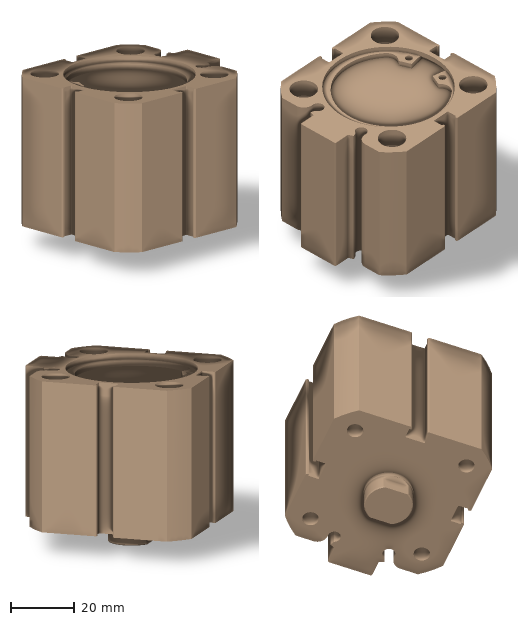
import cadquery as cq
import math

width = 54.0
height = 49.0
corner_flat_end = 20.9
half_width = width / 2
corner_radius = math.hypot(half_width, corner_flat_end)

rail_reach = 33.0
rail_half_width = 7.5
rail_edge_radius = 0.5
barb_tip = (9.25, 26.35)
barb_heel_offset = 0.65

groove_x = 9.3
groove_y = 22.85
groove_radius = 2.05
shoulder_radius = 3.5

slot_half_width = 3.3
slot_mouth_half_width = 2.7
slot_depth = 4.5
slot_lip = 0.95
slot_floor_radius = 0.25
slot_mouth_radius = 0.5

hole_spacing = 38.0
hole_diameter = 5.2
counterbore_diameter = 9.0
counterbore_depth = 6.0

bore_radius = 21.0
snap_groove_radius = 22.2
ring_drop = 1.8
ring_thickness = 1.8
cap_thickness = 6.0

ring_inner_radius = 19.2
ring_inner_offset = 1.25
ring_turn = -0.9
ear_neck = (14.7, -13.6)
ear_dip = (11.8, -15.1)
ear_tip = (8.75, -13.75)
ear_corner = (4.55, -15.5)
ear_end_angle = 14.9
ear_hole = (7.3, -17.1)
ear_hole_radius = 1.25

rod_radius = 8.0
rod_collar_reach = 1.4
rod_end_radius = 7.75
rod_reach = 6.95
rod_end_chamfer = 0.3
flat_half_width = 6.5
flat_start = 2.5

ring_top = height - ring_drop
ring_bottom = ring_top - ring_thickness
cap_bottom = ring_bottom - cap_thickness


def disc(radius, bottom, top):
    """Cylinder on the Z axis between two levels."""
    return cq.Workplane("XY").workplane(offset=bottom).circle(radius).extrude(top - bottom)


def half_outline():
    """+X half of the housing section, without the T-slots."""
    corner_mid = corner_radius * math.sqrt(0.5)
    barb_heel = (
        groove_x - barb_heel_offset,
        groove_y + math.sqrt(groove_radius**2 - barb_heel_offset**2),
    )
    shoulder_start_x = groove_x + groove_radius
    shoulder_end_x = shoulder_start_x + shoulder_radius
    shoulder_start_y = half_width - shoulder_radius
    shoulder_rise = shoulder_radius * math.sqrt(0.5)
    shoulder_mid = (shoulder_end_x - shoulder_rise, shoulder_start_y + shoulder_rise)
    return (
        cq.Workplane("XY")
        .moveTo(0, rail_reach)
        .lineTo(rail_half_width, rail_reach)
        .lineTo(rail_half_width, half_width)
        .lineTo(*barb_tip)
        .lineTo(*barb_heel)
        .threePointArc((groove_x, groove_y - groove_radius), (shoulder_start_x, groove_y))
        .lineTo(shoulder_start_x, shoulder_start_y)
        .threePointArc(shoulder_mid, (shoulder_end_x, half_width))
        .lineTo(corner_flat_end, half_width)
        .threePointArc((corner_mid, corner_mid), (half_width, corner_flat_end))
        .lineTo(half_width, -corner_flat_end)
        .threePointArc((corner_mid, -corner_mid), (corner_flat_end, -half_width))
        .lineTo(0, -half_width)
        .close()
    )


def t_slot():
    """T-slot cutter for the -Y side, with rounded lips at its mouth."""
    cavity = (
        cq.Workplane("XY")
        .rect(2 * slot_half_width, slot_depth - slot_lip)
        .extrude(height)
        .translate((0, -half_width + (slot_depth + slot_lip) / 2, 0))
        .edges("|Z and >Y")
        .fillet(slot_floor_radius)
    )
    outer_edge = slot_mouth_half_width + slot_mouth_radius
    rounding = slot_mouth_radius * (1 - math.sqrt(0.5))
    rounding_mid = slot_mouth_half_width + rounding
    mouth = (
        cq.Workplane("XY")
        .moveTo(-outer_edge, -half_width)
        .lineTo(outer_edge, -half_width)
        .threePointArc(
            (rounding_mid, -half_width + rounding),
            (slot_mouth_half_width, -half_width + slot_mouth_radius),
        )
        .lineTo(slot_mouth_half_width, -half_width + slot_lip)
        .lineTo(-slot_mouth_half_width, -half_width + slot_lip)
        .lineTo(-slot_mouth_half_width, -half_width + slot_mouth_radius)
        .threePointArc((-rounding_mid, -half_width + rounding), (-outer_edge, -half_width))
        .close()
        .extrude(height)
    )
    return cavity.union(mouth)


def make_housing():
    """Profiled block with corner holes, cap bore, snap groove and rod hole."""
    half = half_outline().extrude(height)
    body = half.union(half.mirror("YZ"))
    body = body.edges("|Z and >Y").fillet(rail_edge_radius)
    for side_angle in (-90, 0, 90):
        body = body.cut(t_slot().rotate((0, 0, 0), (0, 0, 1), side_angle))
    body = (
        body.faces(">Z")
        .workplane(origin=(0, 0, height))
        .rect(hole_spacing, hole_spacing, forConstruction=True)
        .vertices()
        .cboreHole(hole_diameter, counterbore_diameter, counterbore_depth)
    )
    cap_bore = disc(bore_radius, cap_bottom, height)
    rod_hole = disc(rod_radius, 0, cap_bottom)
    snap_groove = disc(snap_groove_radius, ring_bottom, ring_top)
    return body.cut(cap_bore).cut(snap_groove).cut(rod_hole)


def make_end_cap():
    """Plain disc that closes the bore, behind the retaining ring."""
    return disc(bore_radius, cap_bottom, ring_bottom)


def make_retaining_ring():
    """Eccentric open ring with two drilled ears beside the gap at -Y."""

    def mirrored(point):
        return (-point[0], point[1])

    end_angle = math.radians(ear_end_angle)
    ear_end = (snap_groove_radius * math.sin(end_angle), -snap_groove_radius * math.cos(end_angle))
    inner_top = (0, ring_inner_radius - ring_inner_offset)
    ring = (
        cq.Workplane("XY")
        .workplane(offset=ring_bottom)
        .moveTo(*ear_end)
        .threePointArc((0, snap_groove_radius), mirrored(ear_end))
        .lineTo(*mirrored(ear_corner))
        .lineTo(*mirrored(ear_tip))
        .threePointArc(mirrored(ear_dip), mirrored(ear_neck))
        .threePointArc(inner_top, ear_neck)
        .threePointArc(ear_dip, ear_tip)
        .lineTo(*ear_corner)
        .close()
        .extrude(ring_thickness)
        .faces(">Z")
        .workplane(origin=(0, 0, ring_top))
        .pushPoints([ear_hole, mirrored(ear_hole)])
        .hole(2 * ear_hole_radius)
    )
    return ring.rotate((0, 0, 0), (0, 0, 1), ring_turn)


def rod_flat_cutter():
    """Removes the -Y side of the rod end, sloping out at 45 degrees to the collar."""
    slope = flat_start - rod_collar_reach
    return (
        cq.Workplane("YZ")
        .moveTo(-flat_half_width, -rod_reach)
        .lineTo(-flat_half_width, -flat_start)
        .lineTo(-flat_half_width - slope, -rod_collar_reach)
        .lineTo(-2 * rod_radius, -rod_collar_reach)
        .lineTo(-2 * rod_radius, -rod_reach)
        .close()
        .extrude(rod_radius, both=True)
    )


def make_rod():
    """Rod that runs from the end cap out through the -Z face, with two wrench flats."""
    shank = (
        disc(rod_radius, -rod_collar_reach, cap_bottom)
        .faces("<Z")
        .chamfer(rod_radius - rod_end_radius)
    )
    end = disc(rod_end_radius, -rod_reach, -rod_collar_reach).faces("<Z").chamfer(rod_end_chamfer)
    flat = rod_flat_cutter()
    return shank.union(end.cut(flat).cut(flat.mirror("XZ")))


housing = make_housing()
end_cap = make_end_cap()
retaining_ring = make_retaining_ring()
rod = make_rod()

result = cq.Compound.makeCompound([housing.val(), end_cap.val(), retaining_ring.val(), rod.val()])